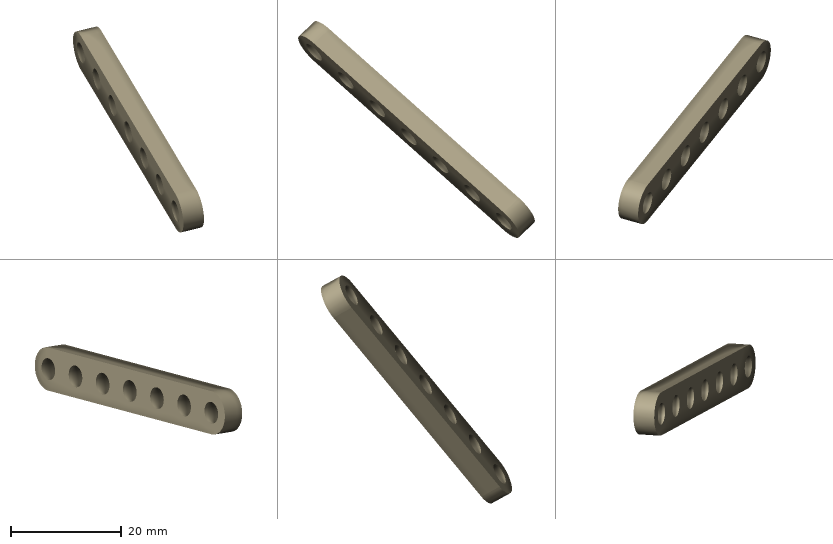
import cadquery as cq

length = 56.0
hole_count = 7

pitch = length / hole_count
height = pitch
thickness = height / 2
hole_diameter = height / 2


def link_body():
    """Straight bar with full round ends, centred on the origin."""
    return cq.Workplane("XZ").slot2D(length, height).extrude(thickness / 2, both=True)


def hole_row():
    """Evenly spaced cylinders along X that pass through the thickness."""
    return (
        cq.Workplane("XZ")
        .rarray(pitch, 0.55, hole_count, 1)
        .circle(hole_diameter / 2)
        .extrude(thickness, both=True)
    )


result = link_body().cut(hole_row())